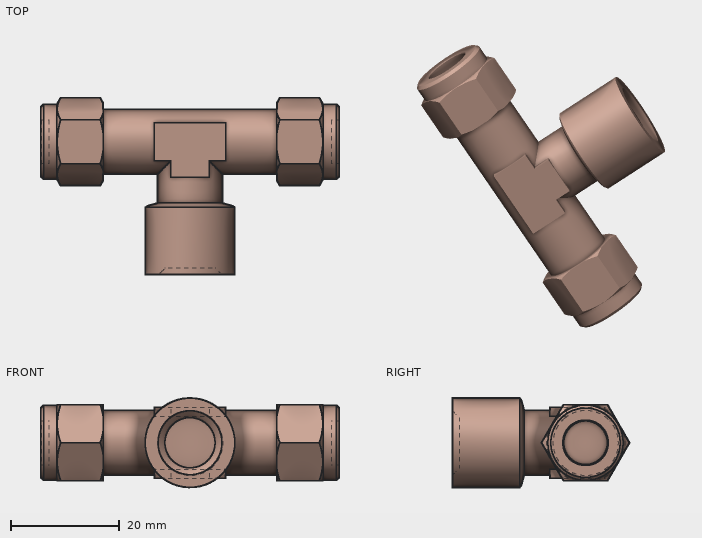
import cadquery as cq
import math

half_run = 27.5
tube_radius = 6.0

pad_half_height = 6.55
pad_half_length = 6.55
pad_half_width = 3.5

nut_across_flats = 14.0
nut_corner_radius = nut_across_flats / math.sqrt(3)
nut_start = 3.0
nut_width = 8.45
nut_inner_chamfer_radius = 7.2
nut_chamfer_angle = 30.0

collar_radius = 6.95
collar_chamfer = 0.55
run_bore_radius = 4.0
run_bore_depth = 1.55
run_bore_chamfer = 0.15

socket_radius = 8.25
socket_end = 24.5
socket_length = 13.2
socket_shoulder_length = 0.8
socket_edge_radius = 7.75
socket_edge_length = 0.35
socket_mouth_radius = 5.9
socket_floor_radius = 4.6
socket_bore_depth = 1.25


def turned(profile):
    """Revolve (radius, height) points around Z, closing the outline on the axis."""
    outline = [(0, profile[0][1])] + profile + [(0, profile[-1][1])]
    return cq.Workplane("XZ").polyline(outline).close().revolve(360, (0, 0), (0, 1))


def make_nut():
    """Nut and collar standing on Z = 0, outer end down; nut corners chamfered at both ends."""
    hexagon = (
        cq.Workplane("XY")
        .workplane(offset=nut_start)
        .polygon(6, 2 * nut_corner_radius)
        .extrude(nut_width)
    )
    chamfer_slope = math.tan(math.radians(nut_chamfer_angle))
    outer_drop = (nut_corner_radius - collar_radius) * chamfer_slope
    inner_drop = (nut_corner_radius - nut_inner_chamfer_radius) * chamfer_slope
    nut_end = nut_start + nut_width
    envelope = turned([
        (collar_radius, nut_start),
        (nut_corner_radius, nut_start + outer_drop),
        (nut_corner_radius, nut_end - inner_drop),
        (nut_inner_chamfer_radius, nut_end),
    ])
    collar = turned([
        (collar_radius - collar_chamfer, 0),
        (collar_radius, collar_chamfer),
        (collar_radius, nut_start),
    ])
    bore = turned([
        (run_bore_radius + run_bore_chamfer, 0),
        (run_bore_radius, run_bore_chamfer),
        (run_bore_radius, run_bore_depth),
    ])
    return hexagon.intersect(envelope).union(collar).cut(bore)


def make_pads():
    """T-shaped block whose flat faces stand proud of the tubes."""
    height = 2 * pad_half_height
    along_run = cq.Workplane("XY").box(2 * pad_half_length, 2 * pad_half_width, height)
    along_branch = cq.Workplane("XY").box(2 * pad_half_width, pad_half_length, height)
    return along_run.union(along_branch.translate((0, -pad_half_length / 2, 0)))


def make_socket():
    """Socket standing on Z = 0 with its open mouth down and a two-step conical shoulder on top."""
    shoulder_start = socket_length - socket_shoulder_length
    body = turned([
        (socket_radius, 0),
        (socket_radius, shoulder_start),
        (socket_edge_radius, shoulder_start + socket_edge_length),
        (tube_radius, socket_length),
    ])
    bore = turned([(socket_mouth_radius, 0), (socket_floor_radius, socket_bore_depth)])
    return body.cut(bore)


half_run_tube = half_run - nut_start - nut_width / 2
run_tube = cq.Workplane("YZ").circle(tube_radius).extrude(half_run_tube, both=True)
branch_tube = cq.Workplane("XZ").circle(tube_radius).extrude(socket_end - socket_length / 2)

left_nut = (
    make_nut()
    .rotate((0, 0, 0), (0, 0, 1), 90)
    .rotate((0, 0, 0), (0, 1, 0), 90)
    .translate((-half_run, 0, 0))
)
right_nut = left_nut.mirror("YZ")

socket = make_socket().rotate((0, 0, 0), (1, 0, 0), -90).translate((0, -socket_end, 0))

result = run_tube
for piece in (branch_tube, make_pads(), left_nut, right_nut, socket):
    result = result.union(piece)